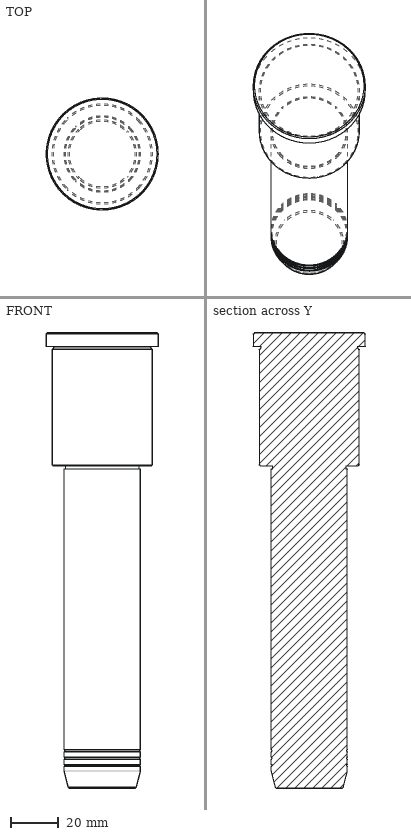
import cadquery as cq

total_length = 191.0
flange_radius = 23.5
body_radius = 21.0
pin_radius = 16.0

flange_thickness = 6.0
body_end_depth = 56.0

flange_chamfer = 0.5
body_chamfer = 0.5
relief_depth = 0.5
relief_width = 1.1
body_relief_slope = 0.5

nose_length = 7.3
nose_tip_radius = 14.3
tip_chamfer = 0.5
groove_count = 3
groove_pitch = 3.0
groove_width = 1.0
groove_depth = 0.4
first_groove_z = 9.2

flange_bottom_z = total_length - flange_thickness
body_bottom_z = total_length - body_end_depth


def cylinder(radius, bottom_z, top_z):
    """Solid cylinder on the Z axis between two heights."""
    return cq.Workplane("XY").workplane(offset=bottom_z).circle(radius).extrude(top_z - bottom_z)


def revolve_section(points):
    """Turn a closed outline of (radius, height) points about the Z axis."""
    return cq.Workplane("XZ").polyline(points).close().revolve(360, (0, 0, 0), (0, 1, 0))


def relief_ring(radius, top_z, slope_height=0):
    """Ring that necks a shaft down below a shoulder at top_z; its lower flank rises by slope_height."""
    bottom_z = top_z - relief_width
    inner_radius = radius - relief_depth
    return revolve_section([
        (inner_radius, bottom_z + slope_height),
        (radius, bottom_z),
        (radius, top_z),
        (inner_radius, top_z),
    ])


def vee_ring(bottom_z):
    """Ring that cuts a V groove into the pin."""
    return revolve_section([
        (pin_radius, bottom_z),
        (pin_radius, bottom_z + groove_width),
        (pin_radius - groove_depth, bottom_z + groove_width / 2),
    ])


flange = cylinder(flange_radius, flange_bottom_z, total_length)
flange = flange.faces(">Z").edges().chamfer(flange_chamfer)

body = cylinder(body_radius, body_bottom_z, flange_bottom_z)
body = body.faces("<Z").edges().chamfer(body_chamfer)
body = body.cut(relief_ring(body_radius, flange_bottom_z, body_relief_slope))

pin = cylinder(pin_radius, nose_length, body_bottom_z)
pin = pin.cut(relief_ring(pin_radius, body_bottom_z))
for index in range(groove_count):
    groove_z = first_groove_z + index * groove_pitch
    pin = pin.cut(vee_ring(groove_z))

nose = revolve_section([
    (0, 0),
    (nose_tip_radius - tip_chamfer, 0),
    (nose_tip_radius, tip_chamfer),
    (pin_radius, nose_length),
    (0, nose_length),
])

result = flange.union(body).union(pin).union(nose)